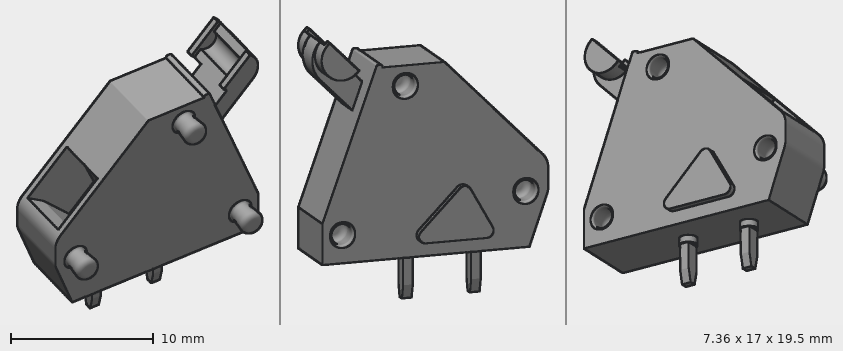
import cadquery as cq
import math

HOUSING_WIDTH = 5.03
HOUSING_DEPTH = 16.79
ROOF_HEIGHT = 13.9
BACK_WALL_HEIGHT = 2.98
BACK_SLOPE_ANGLE = 20.0
FRONT_SLOPE_BASE = 6.2
FRONT_WALL_BASE = 3.98
UNDERCUT_SETBACK = 1.4
FRONT_EDGE_RADIUS = 1.48
ROOF_EDGE_RADIUS = 0.2

RIDGE_HEIGHT = 0.2
RIDGE_LENGTH = 0.5
RIDGE_REAR_RADIUS = 0.12
RIDGE_FRONT_RADIUS = 0.18

COUPLING_CENTRES = [(10.63, 12.42), (15.29, 2.05), (1.68, 4.05)]
COUPLING_LENGTH = 1.83
NECK_RADIUS = 0.76
HEAD_RADIUS = 0.88
HEAD_ROUNDING = 0.43
FLARE_LENGTH = 0.25
FLARE_HEIGHT = 0.18

TRIANGLE_CORNERS = [(9.28, 1.56), (4.75, 1.56), (6.4, 4.45)]
TRIANGLE_CORNER_RADIUS = 0.5
TRIANGLE_HEIGHT = 0.5

ENTRY_LEFT = 0.53
ENTRY_RIGHT = 4.55
ENTRY_FLOOR_LEFT = 1.58
ENTRY_FLOOR_RIGHT = 4.08
ENTRY_DEPTH = 3.35
ENTRY_MOUTH_Y = (0.55, 3.78)
ENTRY_FLOOR_Y = (3.32, 5.36)
ENTRY_LOWER_KINK = (1.64, 6.24)
ENTRY_UPPER_KINK = (4.43, 9.57)

LEVER_CENTRE = (15.1, 14.88)
LEVER_INSET = 0.127
LEVER_HEAD_RADIUS = 1.55
LEVER_HEAD_AXIS = -0.23
CHEEK_THICKNESS = 0.55
STEM_TOP = -0.33
STEM_THICKNESS = 1.95
STEM_ROOT = -4.29
STEM_LEFT = 1.52
STEM_STEP = 3.55
THIN_STEM_THICKNESS = 1.46
TROUGH_RADIUS = 0.78

PIN_CENTRES_Y = [9.71, 4.66]
PIN_LENGTH = 3.53
PIN_WIDTH = 1.01
PIN_THICKNESS = 0.72
PIN_TIP_WIDTH = 0.5
PIN_TAPER_LENGTH = 1.0
COLLAR_RADIUS = 0.65
COLLAR_HEIGHT = 0.53

COS_45 = math.sqrt(0.5)


def side_plane(x):
    """YZ plane at the given x, with local x along Y and local y along Z."""
    return cq.Workplane("YZ", origin=(x, 0, 0))


def round_edge(part, y, z, radius):
    """Fillet the edge along X that is nearest to (y, z)."""
    edge = cq.selectors.NearestToPointSelector((HOUSING_WIDTH / 2, y, z))
    return part.edges("|X").edges(edge).fillet(radius)


def housing_block():
    roof_back_y = HOUSING_DEPTH - (ROOF_HEIGHT - BACK_WALL_HEIGHT) * math.tan(math.radians(BACK_SLOPE_ANGLE))
    roof_front_y = ROOF_HEIGHT - FRONT_SLOPE_BASE
    ridge_top = ROOF_HEIGHT + RIDGE_HEIGHT
    ridge_back_y = roof_back_y - RIDGE_HEIGHT * math.tan(math.radians(BACK_SLOPE_ANGLE))
    ridge_front_y = roof_back_y - RIDGE_LENGTH
    block = (
        side_plane(0)
        .moveTo(UNDERCUT_SETBACK, 0)
        .lineTo(HOUSING_DEPTH, 0)
        .lineTo(HOUSING_DEPTH, BACK_WALL_HEIGHT)
        .lineTo(ridge_back_y, ridge_top)
        .lineTo(ridge_front_y, ridge_top)
        .lineTo(ridge_front_y, ROOF_HEIGHT)
        .lineTo(roof_front_y, ROOF_HEIGHT)
        .lineTo(0, FRONT_SLOPE_BASE)
        .lineTo(0, FRONT_WALL_BASE)
        .close()
        .extrude(HOUSING_WIDTH)
    )

    block = round_edge(block, 0, FRONT_SLOPE_BASE, FRONT_EDGE_RADIUS)
    block = round_edge(block, 0, FRONT_WALL_BASE, FRONT_EDGE_RADIUS)
    block = round_edge(block, roof_front_y, ROOF_HEIGHT, ROOF_EDGE_RADIUS)
    block = round_edge(block, ridge_back_y, ridge_top, RIDGE_REAR_RADIUS)
    return round_edge(block, ridge_front_y, ridge_top, RIDGE_FRONT_RADIUS)


def coupling(x, y, z):
    """Stud-shaped solid of revolution that starts at x and points to +X."""
    head_start = COUPLING_LENGTH - HEAD_ROUNDING
    tip_radius = HEAD_RADIUS - HEAD_ROUNDING
    bulge = HEAD_ROUNDING * COS_45
    return (
        cq.Workplane("XY", origin=(x, y, z))
        .lineTo(COUPLING_LENGTH, 0)
        .lineTo(COUPLING_LENGTH, tip_radius)
        .threePointArc((head_start + bulge, tip_radius + bulge), (head_start, HEAD_RADIUS))
        .lineTo(FLARE_LENGTH, NECK_RADIUS)
        .tangentArcPoint((0, NECK_RADIUS + FLARE_HEIGHT), relative=False)
        .close()
        .revolve(360, (0, 0, 0), (1, 0, 0))
    )


def raised_triangle():
    return (
        side_plane(-TRIANGLE_HEIGHT)
        .polyline(TRIANGLE_CORNERS)
        .close()
        .offset2D(TRIANGLE_CORNER_RADIUS, "arc")
        .extrude(TRIANGLE_HEIGHT)
    )


def wire_entry():
    """Funnel with straight side walls and an upper and lower wall of two facets each."""
    mouth_low, mouth_high = ENTRY_MOUTH_Y
    floor_low, floor_high = ENTRY_FLOOR_Y
    floor_base = FRONT_SLOPE_BASE - ENTRY_DEPTH / COS_45
    side_profile = (
        side_plane(0)
        .moveTo(mouth_low, FRONT_SLOPE_BASE + mouth_low)
        .lineTo(*ENTRY_LOWER_KINK)
        .lineTo(floor_low, floor_base + floor_low)
        .lineTo(floor_high, floor_base + floor_high)
        .lineTo(*ENTRY_UPPER_KINK)
        .lineTo(mouth_high, FRONT_SLOPE_BASE + mouth_high)
        .close()
        .extrude(HOUSING_WIDTH)
    )
    slope_section = cq.Plane(origin=(0, 0, FRONT_SLOPE_BASE), xDir=(1, 0, 0), normal=(0, -1, -1))
    taper = (
        cq.Workplane(slope_section)
        .moveTo(ENTRY_LEFT, 0)
        .lineTo(ENTRY_RIGHT, 0)
        .lineTo(ENTRY_FLOOR_RIGHT, -ENTRY_DEPTH)
        .lineTo(ENTRY_FLOOR_LEFT, -ENTRY_DEPTH)
        .close()
        .extrude(HOUSING_DEPTH, both=True)
    )
    return side_profile.intersect(taper)


def lever_plane(x):
    """Section plane of the lever: local x towards its tip, local y out of its top."""
    return cq.Workplane(cq.Plane(origin=(x, *LEVER_CENTRE), xDir=(0, 1, 1), normal=(1, 0, 0)))


def lever_stem(x_start, x_end, thickness):
    arc_start = LEVER_HEAD_RADIUS - thickness
    arc_middle = thickness * COS_45
    return (
        lever_plane(x_start)
        .moveTo(STEM_ROOT, STEM_TOP)
        .lineTo(LEVER_HEAD_RADIUS, STEM_TOP)
        .threePointArc(
            (arc_start + arc_middle, STEM_TOP - arc_middle),
            (arc_start, STEM_TOP - thickness),
        )
        .lineTo(STEM_ROOT, STEM_TOP - thickness)
        .close()
        .extrude(x_end - x_start)
    )


def lever():
    lever_right = HOUSING_WIDTH - LEVER_INSET
    head = (
        lever_plane(LEVER_INSET)
        .moveTo(-LEVER_HEAD_RADIUS, 0)
        .lineTo(-LEVER_HEAD_RADIUS, LEVER_HEAD_AXIS)
        .threePointArc((0, LEVER_HEAD_AXIS - LEVER_HEAD_RADIUS), (LEVER_HEAD_RADIUS, LEVER_HEAD_AXIS))
        .lineTo(LEVER_HEAD_RADIUS, 0)
        .close()
        .extrude(lever_right - LEVER_INSET)
    )
    cheek_gap_left = LEVER_INSET + CHEEK_THICKNESS
    cheek_gap = lever_right - CHEEK_THICKNESS - cheek_gap_left
    recess = (
        lever_plane(cheek_gap_left)
        .moveTo(-LEVER_HEAD_RADIUS, STEM_TOP)
        .lineTo(LEVER_HEAD_RADIUS, STEM_TOP)
        .lineTo(LEVER_HEAD_RADIUS, 0)
        .lineTo(-LEVER_HEAD_RADIUS, 0)
        .close()
        .extrude(cheek_gap)
    )
    trough = (
        lever_plane(cheek_gap_left)
        .center(0, LEVER_HEAD_AXIS)
        .circle(TROUGH_RADIUS)
        .extrude(cheek_gap)
    )
    return (
        head.cut(recess)
        .union(lever_stem(STEM_LEFT, STEM_STEP, STEM_THICKNESS))
        .union(lever_stem(STEM_STEP, lever_right, THIN_STEM_THICKNESS))
        .cut(trough)
    )


def make_housing():
    housing = housing_block().union(lever()).union(raised_triangle()).cut(wire_entry())
    for y, z in COUPLING_CENTRES:
        housing = housing.union(coupling(HOUSING_WIDTH, y, z))
        housing = housing.cut(coupling(0, y, z))
    return housing


def make_pin(y):
    """Flat pin with a tapered tip, hanging from a round collar under the housing."""
    origin = (HOUSING_WIDTH / 2, y, 0)
    blade = (
        cq.Workplane("XZ", origin=origin)
        .moveTo(-PIN_WIDTH / 2, 0)
        .lineTo(PIN_WIDTH / 2, 0)
        .lineTo(PIN_WIDTH / 2, PIN_TAPER_LENGTH - PIN_LENGTH)
        .lineTo(PIN_TIP_WIDTH / 2, -PIN_LENGTH)
        .lineTo(-PIN_TIP_WIDTH / 2, -PIN_LENGTH)
        .lineTo(-PIN_WIDTH / 2, PIN_TAPER_LENGTH - PIN_LENGTH)
        .close()
        .extrude(PIN_THICKNESS / 2, both=True)
    )
    collar = cq.Workplane("XY", origin=origin).circle(COLLAR_RADIUS).extrude(-COLLAR_HEIGHT)
    return blade.union(collar)


housing = make_housing()
pins = [make_pin(y) for y in PIN_CENTRES_Y]
result = cq.Compound.makeCompound([housing.val(), *[pin.val() for pin in pins]])